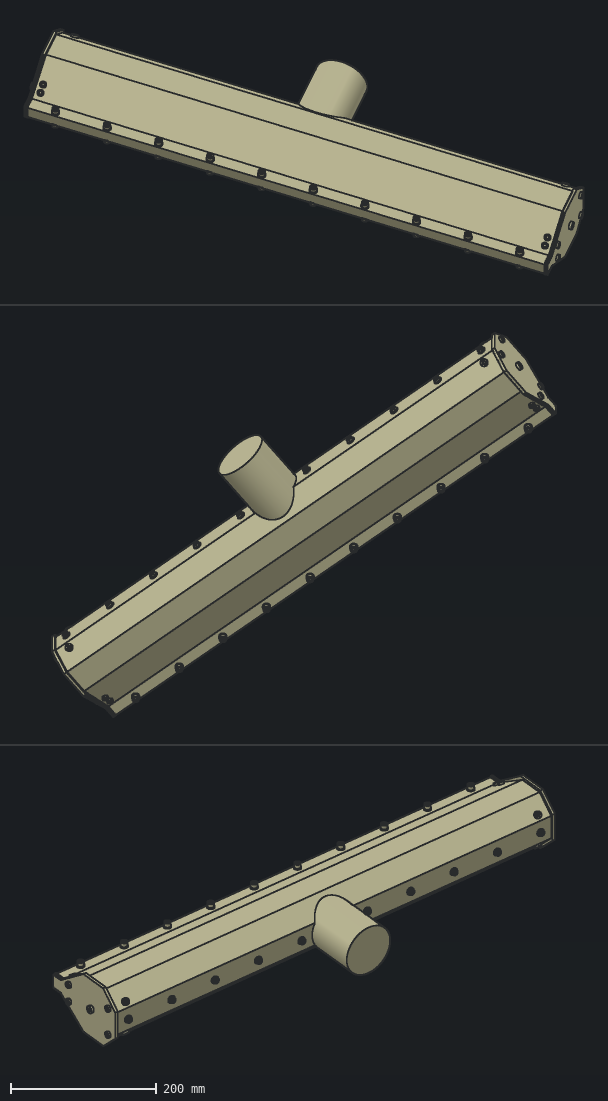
import cadquery as cq


lip_depth = 17.0
body_lip_half_height = 10.0
body_half_height = 44.5
body_flat_front = 71.0
body_flat_back = 109.0
body_back = 135.0

plates_span = 772.0
plate_thickness = 2.0
gasket_thickness = 2.0
plate_half_height = 48.0
plate_flat_front = 67.0
plate_flat_back = 111.0
plate_back = 137.0
plate_lip_half_height = 11.0
gasket_lip_half_height = 12.5
gasket_front = 1.0

pipe_diameter = 76.5
pipe_start = 85.0
pipe_end = 211.5

head_root = 1.5
socket_depth = 2.0
socket_diameter = 5.0
washer_diameter = 11.0
washer_height = 1.5

lip_screw_count = 10
lip_screw_span = 685.0
lip_screw_y = 6.0
lip_screw_diameter = 9.0
lip_screw_height = 8.0

back_screws_per_side = 5
back_screw_last = 362.0
back_screw_diameter = 8.5
back_screw_height = 5.0

corner_screw_y = 129.0
corner_screw_diameter = 10.0
corner_screw_height = 3.0

slope_screw_x = 372.0
slope_screw_ys = (37.0, 26.5)
slope_screw_diameter = 8.5
slope_screw_height = 3.0

end_screw_places = ((123.0, 22.0), (36.0, 14.0))
end_screw_diameter = 9.0
end_screw_height = 3.0
hub_y = 85.0
hub_diameter = 11.0
hub_height = 4.0

end_x = plates_span / 2
plate_inner_x = end_x - plate_thickness
body_end_x = plate_inner_x - gasket_thickness
screw_pitch = lip_screw_span / (lip_screw_count - 1)
front_slope_rise = body_half_height - body_lip_half_height
front_slope_run = body_flat_front - lip_depth


def half_outline(front, lip_half_height, half_height, flat_front, flat_back, back):
    """Upper half of a faceted section as (y, z) points; the back slope is at 45 degrees."""
    return [
        (front, lip_half_height),
        (lip_depth, lip_half_height),
        (flat_front, half_height),
        (flat_back, half_height),
        (back, half_height - (back - flat_back)),
    ]


def end_outline(front, lip_half_height):
    """Upper half of an end plate or gasket section."""
    return half_outline(
        front, lip_half_height, plate_half_height, plate_flat_front, plate_flat_back, plate_back
    )


def mirrored_prism(upper_half, x_start, x_end):
    """Extrude along X a half outline joined to its mirror image below Z = 0."""
    lower_half = [(y, -z) for y, z in reversed(upper_half)]
    outline = cq.Workplane("YZ", origin=(x_start, 0, 0)).polyline(upper_half + lower_half)
    return outline.close().extrude(x_end - x_start)


def make_body():
    upper_half = half_outline(
        0, body_lip_half_height, body_half_height, body_flat_front, body_flat_back, body_back
    )
    return mirrored_prism(upper_half, -body_end_x, body_end_x)


def make_end_covers():
    """Plate and gasket at both ends of the bar."""
    plate = mirrored_prism(end_outline(0, plate_lip_half_height), plate_inner_x, end_x)
    gasket_outline = end_outline(gasket_front, gasket_lip_half_height)
    gasket = mirrored_prism(gasket_outline, body_end_x, plate_inner_x)
    cover = plate.union(gasket)
    return cover.union(cover.mirror("YZ"))


def make_pipe():
    start = cq.Vector(0, pipe_start, 0)
    length = pipe_end - pipe_start
    return cq.Workplane(cq.Solid.makeCylinder(pipe_diameter / 2, length, start, cq.Vector(0, 1, 0)))


def screw_head(place, direction, diameter, height, washer=False):
    """Socket head standing on a face at place and pointing along direction."""
    axis = cq.Vector(*direction).normalized()
    foot = cq.Vector(*place) - axis * head_root
    top = cq.Vector(*place) + axis * height
    head = cq.Solid.makeCylinder(diameter / 2, height + head_root, foot, axis)
    if washer:
        head = head.fuse(
            cq.Solid.makeCylinder(washer_diameter / 2, washer_height + head_root, foot, axis)
        )
    return head.cut(cq.Solid.makeCylinder(socket_diameter / 2, socket_depth, top, axis * -1))


def lip_screws():
    heads = []
    for i in range(lip_screw_count):
        x = i * screw_pitch - lip_screw_span / 2
        for side in (1, -1):
            place = (x, lip_screw_y, side * body_lip_half_height)
            heads.append(
                screw_head(place, (0, 0, side), lip_screw_diameter, lip_screw_height, washer=True)
            )
    return heads


def back_screws():
    heads = []
    for i in range(back_screws_per_side):
        x = back_screw_last - i * screw_pitch
        for end in (1, -1):
            place = (end * x, body_back, 0)
            heads.append(
                screw_head(place, (0, 1, 0), back_screw_diameter, back_screw_height, washer=True)
            )
    return heads


def corner_screws(end, side):
    z = body_half_height - (corner_screw_y - body_flat_back)
    place = (end * back_screw_last, corner_screw_y, side * z)
    return [screw_head(place, (0, 1, side), corner_screw_diameter, corner_screw_height)]


def slope_screws(end, side):
    heads = []
    normal = (0, -front_slope_rise, side * front_slope_run)
    for y in slope_screw_ys:
        z = body_lip_half_height + (y - lip_depth) * front_slope_rise / front_slope_run
        place = (end * slope_screw_x, y, side * z)
        heads.append(screw_head(place, normal, slope_screw_diameter, slope_screw_height))
    return heads


def end_screws(end, side):
    heads = []
    for y, z in end_screw_places:
        place = (end * end_x, y, side * z)
        heads.append(screw_head(place, (end, 0, 0), end_screw_diameter, end_screw_height))
    return heads


heads = lip_screws() + back_screws()
for end in (1, -1):
    heads.append(screw_head((end * end_x, hub_y, 0), (end, 0, 0), hub_diameter, hub_height))
    for side in (1, -1):
        heads += corner_screws(end, side) + slope_screws(end, side) + end_screws(end, side)

result = make_body().union(make_end_covers()).union(make_pipe())
result = result.union(cq.Workplane().newObject(heads))